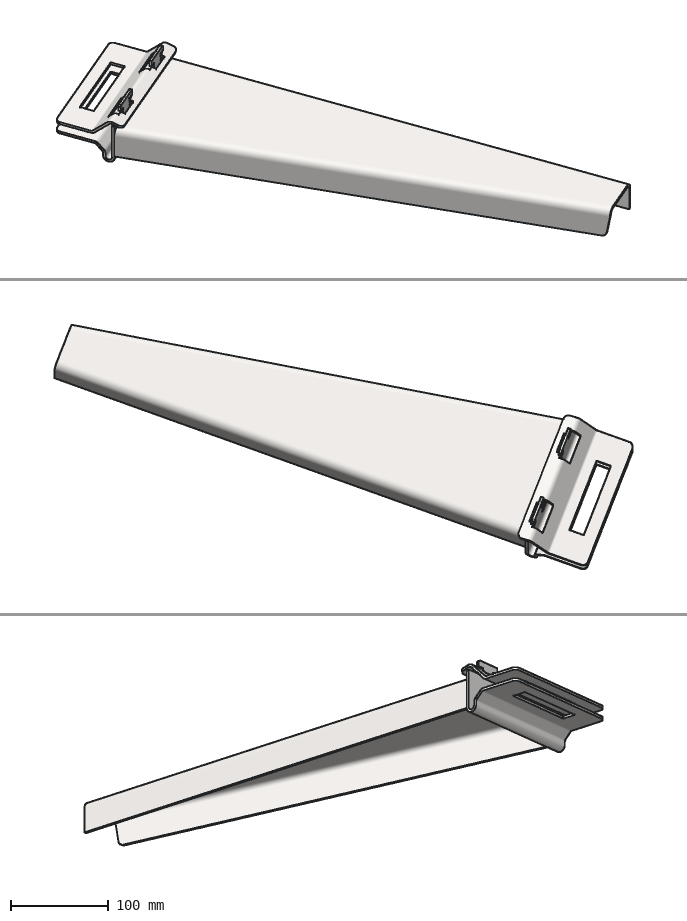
import cadquery as cq
import math

SHEET = 3.0
BEND_RADIUS = 3.0
WIDTH = 140.0
SHORTEST_STRAIGHT = 0.05
CORNER_RADIUS = 5.0
TAB_OFFSET = 39.5

UPPER_LEAF_BOTTOM_Z = 31.5
LOWER_LEAF_BOTTOM_Z = 19.0
UPPER_LEAF_Z = UPPER_LEAF_BOTTOM_Z + SHEET / 2
LOWER_LEAF_Z = LOWER_LEAF_BOTTOM_Z + SHEET / 2
STRAP_SLOT_START = 14.0
STRAP_SLOT_END = 29.5
STRAP_SLOT_WIDTH = 79.0

CREST_X = 61.0
CREST_Z = 52.5
TAIL_END_X = 75.0
TAIL_DROP_ANGLE = 15

KEYHOLE_START = 53.0
KEYHOLE_STEP = 64.5
KEYHOLE_END = 69.0
KEYHOLE_WIDE = 32.0
KEYHOLE_NARROW = 21.5

HEIGHT = 63.5
PLATE_X = 64.5
PLATE_BACK_X = PLATE_X + SHEET / 2
TROUGH_RADIUS = 3.5
TROUGH_MIDDLE_RADIUS = TROUGH_RADIUS + SHEET / 2
LIP_X = PLATE_X - 2 * TROUGH_MIDDLE_RADIUS
LIP_TOP_Z = 11.5
SHOULDER_Z = 47.5
NECK_WIDTH = 16.0
HEAD_WIDTH = 29.0
HEAD_HEIGHT = 7.0
HEAD_CHAMFER = 2.0
WINDOW_OFFSET = 20.5
WINDOW_WIDTH = 17.5
WINDOW_HEIGHT = 14.5
WINDOW_BOTTOM_Z = 24.5
WINDOW_RADIUS = 3.0

ARM_END_X = 581.5
ARM_TOP_Z = 43.5
ARM_BOTTOM_Z = 9.0
ARM_STRAIGHT_Y = 65.0
ARM_SLANT_START_Y = -WIDTH / 2
ARM_SLANT_END_Y = 13.5
ARM_TAPER = (ARM_SLANT_END_Y - ARM_SLANT_START_Y) / (ARM_END_X - PLATE_BACK_X)
ARM_BEND_RADIUS = 8.0


def bent_sheet(start, bends, end):
    """Sheet of full width whose middle line runs from start to end in X and Z.

    Each bend is a corner of the middle line (x, z) with its inner radius.
    """
    corners = [cq.Vector(x, 0, z) for x, z, _ in bends]
    stops = [cq.Vector(start[0], 0, start[1]), *corners, cq.Vector(end[0], 0, end[1])]
    path = cq.Workplane("XZ").moveTo(*start)
    reached = stops[0]
    for index, (_, _, inner_radius) in enumerate(bends):
        corner = corners[index]
        back = (stops[index] - corner).normalized()
        ahead = (stops[index + 2] - corner).normalized()
        bisector = (back + ahead).normalized()
        radius = inner_radius + SHEET / 2
        half_opening = back.getAngle(ahead) / 2
        setback = radius / math.tan(half_opening)
        arc_start = corner + back * setback
        arc_middle = corner + bisector * (radius / math.sin(half_opening) - radius)
        arc_end = corner + ahead * setback
        if (arc_start - reached).Length > SHORTEST_STRAIGHT:
            path = path.lineTo(arc_start.x, arc_start.z)
        path = path.threePointArc((arc_middle.x, arc_middle.z), (arc_end.x, arc_end.z))
        reached = arc_end
    path = path.lineTo(*end)
    profile = cq.Workplane("YZ", origin=(start[0], 0, start[1])).rect(WIDTH, SHEET)
    return profile.sweep(path)


def round_leaf_corners(sheet):
    """Round the two free corners of a leaf at X = 0."""
    return sheet.faces("<X").edges("|Z").fillet(CORNER_RADIUS)


def cut_strap_slot(sheet, leaf_z):
    length = STRAP_SLOT_END - STRAP_SLOT_START
    middle = (STRAP_SLOT_START + STRAP_SLOT_END) / 2
    slot = cq.Workplane("XY").box(length, STRAP_SLOT_WIDTH, 2 * SHEET)
    return sheet.cut(slot.translate((middle, 0, leaf_z)))


def keyhole(y):
    """Cutter for one keyhole: wide on the rise, narrow on the tail."""
    wide_length = KEYHOLE_STEP - KEYHOLE_START
    whole_length = KEYHOLE_END - KEYHOLE_START
    depth = HEIGHT - UPPER_LEAF_Z
    from_start = (False, True, False)
    wide = cq.Workplane("XY").box(wide_length, KEYHOLE_WIDE, depth, centered=from_start)
    narrow = cq.Workplane("XY").box(whole_length, KEYHOLE_NARROW, depth, centered=from_start)
    return wide.union(narrow).translate((KEYHOLE_START, y, UPPER_LEAF_Z + SHEET))


def make_upper_clamp():
    rise_start_x = CREST_X - (CREST_Z - UPPER_LEAF_Z)
    tail_drop = (TAIL_END_X - CREST_X) * math.tan(math.radians(TAIL_DROP_ANGLE))
    clamp = bent_sheet(
        (0, UPPER_LEAF_Z),
        [(rise_start_x, UPPER_LEAF_Z, BEND_RADIUS), (CREST_X, CREST_Z, BEND_RADIUS)],
        (TAIL_END_X, CREST_Z - tail_drop),
    )
    clamp = round_leaf_corners(clamp)
    clamp = clamp.faces(">X").edges("not |Y").fillet(CORNER_RADIUS)
    clamp = cut_strap_slot(clamp, UPPER_LEAF_Z)
    for y in (-TAB_OFFSET, TAB_OFFSET):
        clamp = clamp.cut(keyhole(y))
    return clamp


def hook_tab():
    """T-shaped tab on the +Y side: a neck on the plate shoulder and a wider head.

    Only the head corner away from the middle is chamfered.
    """
    head_bottom_z = HEIGHT - HEAD_HEIGHT
    neck_height = head_bottom_z - SHOULDER_Z
    neck = cq.Workplane("XY").box(SHEET, NECK_WIDTH, neck_height, centered=(True, True, False))
    head = cq.Workplane("XY").box(SHEET, HEAD_WIDTH, HEAD_HEIGHT, centered=(True, True, False))
    head = head.edges("|X").edges(">Z").edges(">Y").chamfer(HEAD_CHAMFER)
    tab = neck.union(head.translate((0, 0, neck_height)))
    return tab.translate((PLATE_X, TAB_OFFSET, SHOULDER_Z))


def plate_window(y):
    """Cutter for one rounded window through the end plate."""
    window = cq.Workplane("XY").box(2 * SHEET, WINDOW_WIDTH, WINDOW_HEIGHT)
    window = window.edges("|X").fillet(WINDOW_RADIUS)
    return window.translate((PLATE_X, y, WINDOW_BOTTOM_Z + WINDOW_HEIGHT / 2))


def make_lower_clamp():
    drop_start_x = LIP_X - (LOWER_LEAF_Z - LIP_TOP_Z)
    trough_bottom_z = SHEET / 2
    clamp = bent_sheet(
        (0, LOWER_LEAF_Z),
        [
            (drop_start_x, LOWER_LEAF_Z, BEND_RADIUS),
            (LIP_X, LIP_TOP_Z, BEND_RADIUS),
            (LIP_X, trough_bottom_z, TROUGH_RADIUS),
            (PLATE_X, trough_bottom_z, TROUGH_RADIUS),
        ],
        (PLATE_X, SHOULDER_Z),
    )
    clamp = round_leaf_corners(clamp)
    clamp = cut_strap_slot(clamp, LOWER_LEAF_Z)
    tab = hook_tab()
    clamp = clamp.union(tab).union(tab.mirror("XZ"))
    for y in (-WINDOW_OFFSET, WINDOW_OFFSET):
        clamp = clamp.cut(plate_window(y))
    return clamp


def arm_prism(inset, top_z):
    """Tapered block inset from both arm sides, its two long top edges square."""
    slant_angle = math.atan(ARM_TAPER)
    slant_inset = inset / math.cos(slant_angle)
    return (
        cq.Workplane("XY", origin=(0, 0, ARM_BOTTOM_Z))
        .moveTo(PLATE_BACK_X, ARM_STRAIGHT_Y - inset)
        .lineTo(PLATE_BACK_X, ARM_SLANT_START_Y + slant_inset)
        .lineTo(ARM_END_X, ARM_SLANT_END_Y + slant_inset)
        .lineTo(ARM_END_X, ARM_STRAIGHT_Y - inset)
        .close()
        .extrude(top_z - ARM_BOTTOM_Z)
    )


def round_long_edges(prism, radius):
    return prism.faces(">Z").edges("not |Y").fillet(radius)


def trim_slanted_side(arm):
    """Cut the far end of the slanted side back towards the bottom and round its corner."""
    bend_z = ARM_TOP_Z - ARM_BEND_RADIUS
    setback = (bend_z - ARM_BOTTOM_Z) * ARM_TAPER
    bottom_x = ARM_END_X - setback
    trim = (
        cq.Workplane("XZ", origin=(0, ARM_SLANT_END_Y + 2 * SHEET, 0))
        .moveTo(ARM_END_X, bend_z)
        .lineTo(bottom_x, ARM_BOTTOM_Z)
        .lineTo(ARM_END_X, ARM_BOTTOM_Z)
        .close()
        .extrude(WIDTH)
    )
    near_corner = cq.selectors.NearestToPointSelector((bottom_x, ARM_SLANT_END_Y, ARM_BOTTOM_Z))
    return arm.cut(trim).edges("not(|X or |Z)").edges(near_corner).fillet(CORNER_RADIUS)


def make_arm():
    outside = round_long_edges(arm_prism(0, ARM_TOP_Z), ARM_BEND_RADIUS)
    inside = round_long_edges(arm_prism(SHEET, ARM_TOP_Z - SHEET), ARM_BEND_RADIUS - SHEET)
    return trim_slanted_side(outside.cut(inside))


upper_clamp = make_upper_clamp()
lower_clamp = make_lower_clamp()
arm = make_arm()

result = cq.Compound.makeCompound([upper_clamp.val(), lower_clamp.val(), arm.val()])